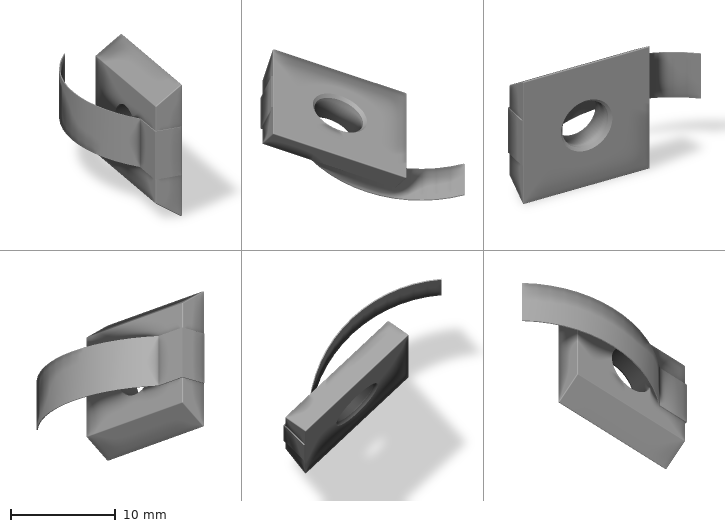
import cadquery as cq
import math

total_length = 21.0
block_length = 13.8
block_depth = 2.8
back_height = 13.63
front_height = 10.04
edge_radius = 0.095
hole_chamfer = 0.3
hole_diameter = 5.0

strip_thickness = 0.1
strip_height = 5.0
flat_length = 3.45
strip_depth = 6.0
end_leg_gap = 0.1

block_right = total_length - strip_thickness
block_left = block_right - block_length
block_middle = (block_left + block_right) / 2
bow_end = total_length - flat_length
bow_depth = strip_depth - block_depth


def sharp_back_height():
    """Height of the unrounded dovetail whose rounded back edges span back_height."""
    tilt = math.atan2((back_height - front_height) / 2, block_depth)
    corner_drop = edge_radius * (1 / math.cos(tilt) + math.tan(tilt) - 1)
    return back_height + 2 * corner_drop


def make_block():
    """Dovetail nut with rounded edges and a through hole countersunk at the back."""
    half_front = front_height / 2
    half_back = sharp_back_height() / 2
    body = (
        cq.Workplane("YZ", origin=(block_left, 0, 0))
        .polyline([(0, -half_front), (0, half_front), (block_depth, half_back), (block_depth, -half_back)])
        .close()
        .extrude(block_length)
        .edges()
        .fillet(edge_radius)
    )
    hole = (
        cq.Workplane("XZ", origin=(block_middle, 0, 0))
        .circle(hole_diameter / 2)
        .extrude(-block_depth)
    )
    countersink = (
        cq.Workplane("XZ", origin=(block_middle, block_depth, 0))
        .circle(hole_diameter / 2 + hole_chamfer)
        .workplane(offset=hole_chamfer)
        .circle(hole_diameter / 2)
        .loft()
    )
    return body.cut(hole).cut(countersink)


def make_strip():
    """Bowed leaf spring with a flat on the block and a leg around its right end."""
    bow_middle = bow_end / 2
    tip_slope = 2 * math.atan2(bow_depth, bow_middle)
    inner_tip = (strip_thickness * math.sin(tip_slope), strip_thickness * math.cos(tip_slope))
    outline = (
        cq.Workplane("XY", origin=(0, 0, -strip_height / 2))
        .moveTo(0, 0)
        .threePointArc((bow_middle, -bow_depth), (bow_end, -strip_thickness))
        .lineTo(total_length, -strip_thickness)
        .lineTo(total_length, block_depth - end_leg_gap)
        .lineTo(block_right, block_depth - end_leg_gap)
        .lineTo(block_right, 0)
        .lineTo(bow_end, 0)
        .threePointArc((bow_middle, strip_thickness - bow_depth), inner_tip)
        .close()
    )
    return outline.extrude(strip_height)


result = make_block().union(make_strip())